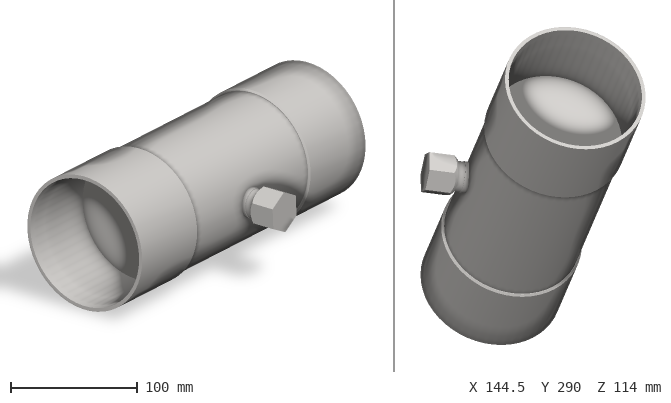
import cadquery as cq

total_length = 290.0
barrel_diameter = 110.0
socket_diameter = 114.0
socket_bore = 108.0
socket_length = 72.8
socket_floor = 5.0
socket_chamfer = 1.5
barrel_length = total_length - 2 * socket_length

overall_width = 144.5
fitting_end = overall_width - socket_diameter / 2
nut_start = 63.2
nut_across_corners = 34.8
corner_up = 90
nut_turn = 3.5
nut_bevel_diameter = 26.5
neck_diameter = 24.0
collar_diameter = 25.0
collar_end = 57.7


def make_barrel():
    """Solid middle length between the two sockets."""
    return (
        cq.Workplane("XZ", origin=(0, barrel_length / 2, 0))
        .circle(barrel_diameter / 2)
        .extrude(barrel_length)
    )


def make_socket(side):
    """Cup with its floor butted against one end of the barrel; side is -1 or +1 along Y."""
    cup = (
        cq.Workplane("XZ", origin=(0, side * barrel_length / 2, 0))
        .circle(socket_diameter / 2)
        .extrude(-side * socket_length)
    )
    floor_face = "<Y" if side > 0 else ">Y"
    cup = cup.faces(floor_face).edges().chamfer(socket_chamfer)
    bore = (
        cq.Workplane("XZ", origin=(0, side * (barrel_length / 2 + socket_floor), 0))
        .circle(socket_bore / 2)
        .extrude(-side * (socket_length - socket_floor))
    )
    return cup.cut(bore)


def make_hexagon():
    """Hexagon along X, with its inner end bevelled by a 45 degree cone."""
    hexagon = (
        cq.Workplane("YZ", origin=(nut_start, 0, 0))
        .polygon(6, nut_across_corners)
        .extrude(fitting_end - nut_start)
        .rotate((0, 0, 0), (1, 0, 0), corner_up + nut_turn)
    )
    small_radius = nut_bevel_diameter / 2
    large_radius = nut_across_corners / 2
    bevel_end = nut_start + large_radius - small_radius
    envelope = (
        cq.Workplane("XY")
        .moveTo(nut_start, 0)
        .lineTo(nut_start, small_radius)
        .lineTo(bevel_end, large_radius)
        .lineTo(fitting_end, large_radius)
        .lineTo(fitting_end, 0)
        .close()
        .revolve(360, (0, 0, 0), (1, 0, 0))
    )
    return hexagon.intersect(envelope)


def make_fitting(barrel):
    """Collar, neck and hexagon in one piece, its foot shaped to the barrel surface."""
    collar = cq.Workplane("YZ").circle(collar_diameter / 2).extrude(collar_end)
    neck = cq.Workplane("YZ").circle(neck_diameter / 2).extrude(nut_start)
    return collar.cut(barrel).union(neck.cut(barrel)).union(make_hexagon())


barrel = make_barrel()
sockets = [make_socket(side) for side in (-1, 1)]
fitting = make_fitting(barrel)

result = cq.Compound.makeCompound(
    [barrel.val(), *[socket.val() for socket in sockets], fitting.val()]
)